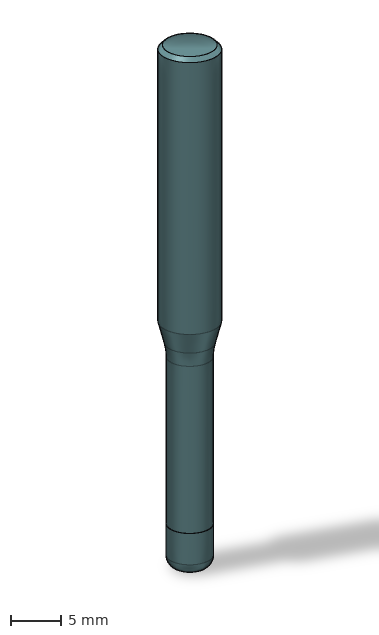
import cadquery as cq
import math

total_length = 57.15
shank_radius = 3.17
top_chamfer = 0.45
taper_top_z = 26.9
taper_angle = math.radians(15)
neck_radius = 2.35
neck_blend_radius = 6.0

tip_radius = 2.37
tip_length = 4.75
tip_corner_radius = 1.3


def make_shank():
    """Revolve the shank: neck, tangent blend, taper, shank and top chamfer."""
    blend_top_radius = neck_radius + neck_blend_radius * (1 - math.cos(taper_angle))
    blend_top_z = taper_top_z - (shank_radius - blend_top_radius) / math.tan(taper_angle)
    blend_bottom_z = blend_top_z - neck_blend_radius * math.sin(taper_angle)
    half_angle = taper_angle / 2
    blend_mid_radius = neck_radius + neck_blend_radius * (1 - math.cos(half_angle))
    blend_mid_z = blend_bottom_z + neck_blend_radius * math.sin(half_angle)
    return (
        cq.Workplane("XZ")
        .moveTo(0, tip_length)
        .lineTo(neck_radius, tip_length)
        .lineTo(neck_radius, blend_bottom_z)
        .threePointArc((blend_mid_radius, blend_mid_z), (blend_top_radius, blend_top_z))
        .lineTo(shank_radius, taper_top_z)
        .lineTo(shank_radius, total_length - top_chamfer)
        .lineTo(shank_radius - top_chamfer, total_length)
        .lineTo(0, total_length)
        .close()
        .revolve(360, (0, 0), (0, 1))
    )


def make_tip():
    """Build the tip below the neck and round its bottom edge."""
    tip = cq.Workplane("XY").circle(tip_radius).extrude(tip_length)
    return tip.faces("<Z").edges().fillet(tip_corner_radius)


shank = make_shank()
tip = make_tip()
result = cq.Compound.makeCompound([shank.val(), tip.val()])